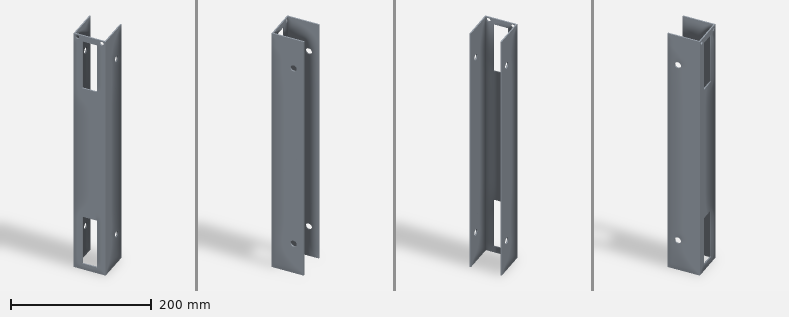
import cadquery as cq

length = 400
width = 51.0
depth = 51.0
wall = 2.0

window_width = 23.0
window_height = 80
window_end_margin = 10.0

corner_hole_diameter = 6.0
corner_hole_spacing = 39.0
corner_hole_drop = 5.0

side_hole_diameter = 10.0
side_hole_end_distance = 50.0
side_hole_back_distance = 16


def make_channel():
    """U-shaped channel centred on X and Z, with the web face at Y = 0."""
    outer = cq.Workplane("XY").box(width, depth, length, centered=(True, False, True))
    cavity = (
        cq.Workplane("XY")
        .box(width - 2 * wall, depth - wall, length, centered=(True, False, True))
        .translate((0, wall, 0))
    )
    return outer.cut(cavity)


def make_windows():
    """Cutters for the two web windows."""
    window_z = length / 2 - window_end_margin - window_height / 2
    return (
        cq.Workplane("XZ")
        .pushPoints([(0, -window_z), (0, window_z)])
        .rect(window_width, window_height)
        .extrude(-wall)
    )


def make_corner_holes():
    """Cutters for the two holes at the top of the web."""
    hole_x = corner_hole_spacing / 2
    hole_z = length / 2 - corner_hole_drop
    return (
        cq.Workplane("XZ")
        .pushPoints([(-hole_x, hole_z), (hole_x, hole_z)])
        .circle(corner_hole_diameter / 2)
        .extrude(-wall)
    )


def make_side_holes():
    """Cutters passing through both flanges near each end."""
    hole_y = depth - side_hole_back_distance
    hole_z = length / 2 - side_hole_end_distance
    return (
        cq.Workplane("YZ")
        .pushPoints([(hole_y, -hole_z), (hole_y, hole_z)])
        .circle(side_hole_diameter / 2)
        .extrude(width / 2, both=True)
    )


result = make_channel().cut(make_windows()).cut(make_corner_holes()).cut(make_side_holes())